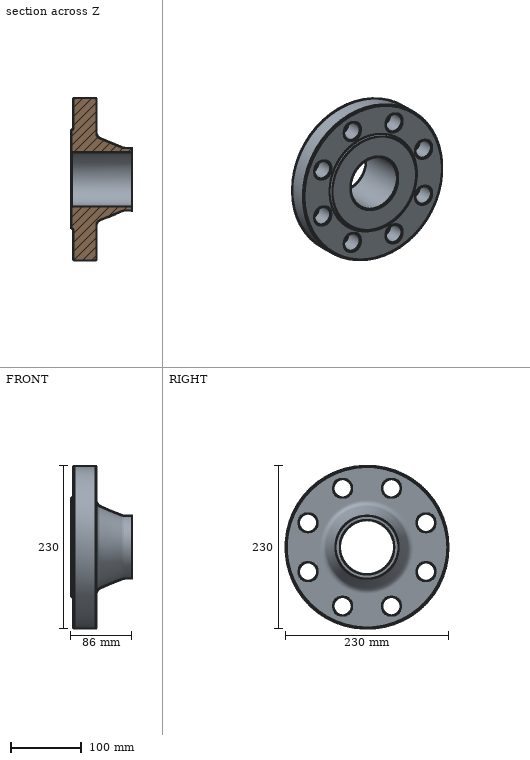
import cadquery as cq
import math

total_length = 86.0
flange_diameter = 230.0
flange_thickness = 33.0
rim_chamfer = 1.5

raised_face_height = 3.0
raised_face_diameter = 138.0

bore_diameter = 76.4
bore_chamfer = 1.4

neck_diameter = 89.0
neck_length = 12.5
cone_angle = 22.5
hub_blend_radius = 8.7

bolt_count = 8
bolt_circle_diameter = 180.0
bolt_hole_diameter = 26.0
bolt_hole_chamfer = 1.2

flange_back = raised_face_height + flange_thickness
cone_end = total_length - neck_length
neck_radius = neck_diameter / 2
cone_base_radius = neck_radius + (cone_end - flange_back) * math.tan(math.radians(cone_angle))


def make_body():
    """Revolve the outside profile, then blend both ends of the hub cone."""
    rim_radius = flange_diameter / 2
    face_radius = raised_face_diameter / 2
    profile = [
        (0, 0),
        (0, face_radius),
        (raised_face_height, face_radius + raised_face_height),
        (raised_face_height, rim_radius - rim_chamfer),
        (raised_face_height + rim_chamfer, rim_radius),
        (flange_back - rim_chamfer, rim_radius),
        (flange_back, rim_radius - rim_chamfer),
        (flange_back, cone_base_radius),
        (cone_end, neck_radius),
        (total_length, neck_radius),
        (total_length, 0),
    ]
    body = cq.Workplane("XY").polyline(profile).close().revolve(360, (0, 0, 0), (1, 0, 0))

    def hub_corner(x, radius):
        margin = 0.2
        reach = radius + margin
        return cq.selectors.BoxSelector(
            (x - margin, -reach, -reach), (x + margin, reach, reach), boundingbox=True
        )

    corners = hub_corner(flange_back, cone_base_radius) + hub_corner(cone_end, neck_radius)
    return body.edges(corners).fillet(hub_blend_radius)


def make_chamfered_hole(diameter, chamfer, start):
    """Cutter along +X from start to the weld end, widened at its entry."""
    radius = diameter / 2
    profile = [
        (start, 0),
        (start, radius + chamfer),
        (start + chamfer, radius),
        (total_length, radius),
        (total_length, 0),
    ]
    return cq.Workplane("XY").polyline(profile).close().revolve(360, (0, 0, 0), (1, 0, 0))


result = make_body().cut(make_chamfered_hole(bore_diameter, bore_chamfer, 0))

bolt_hole = make_chamfered_hole(bolt_hole_diameter, bolt_hole_chamfer, raised_face_height)
bolt_pitch = 360 / bolt_count
for index in range(bolt_count):
    angle = (index + 0.5) * bolt_pitch
    placed_hole = bolt_hole.translate((0, bolt_circle_diameter / 2, 0)).rotate((0, 0, 0), (1, 0, 0), angle)
    result = result.cut(placed_hole)